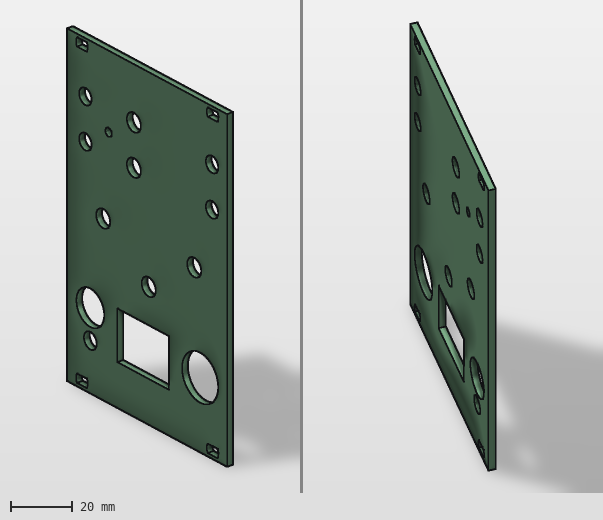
import cadquery as cq
import math

PANEL_WIDTH = 80.9
PANEL_HEIGHT = 128.5
PANEL_THICKNESS = 2.5

SLOT_LENGTH = 5.9
SLOT_HEIGHT = 3.4
SLOT_END_RADIUS = 3.0
SLOT_LEFT_X = 7.5
SLOT_SPACING_X = 66.04
SLOT_EDGE_OFFSET = 3.0

UPPER_ROWS_Z = (107.25, 90.75)
UPPER_SIDE_X = (9.25, 73.25)
UPPER_SIDE_DIAMETER = 6.2
UPPER_MIDDLE_X = 33.75
CONTROL_DIAMETER = 7.0

SMALL_HOLE_X = 21.0
SMALL_HOLE_Z = 98.75
SMALL_HOLE_DIAMETER = 3.2

TRIANGLE_CENTER_X = 41.25
TRIANGLE_HALF_SPACING = 23.0
TRIANGLE_PAIR_Z = 66.25
TRIANGLE_LOWER_Z = 50.25

LEFT_OPENING_X = 11.75
LEFT_OPENING_Z = 31.25
LEFT_OPENING_DIAMETER = 14.0
LEFT_LOWER_HOLE_Z = 19.25
LEFT_LOWER_HOLE_DIAMETER = 6.4
RIGHT_OPENING_X = 67.25
RIGHT_OPENING_Z = 27.25
RIGHT_OPENING_DIAMETER = 18.2

WINDOW_X = 38.5
WINDOW_Z = 26.5
WINDOW_WIDTH = 26.0
WINDOW_HEIGHT = 19.5


def front_sketch_plane():
    """Workplane on the front face; extruding by a negative distance goes into the panel (+Y)."""
    return cq.Workplane("XZ")


def make_plate():
    return front_sketch_plane().rect(PANEL_WIDTH, PANEL_HEIGHT, centered=False).extrude(-PANEL_THICKNESS)


def round_cutter(diameter, centers):
    return front_sketch_plane().pushPoints(centers).circle(diameter / 2).extrude(-PANEL_THICKNESS)


def rectangular_cutter(width, height, centers):
    return front_sketch_plane().pushPoints(centers).rect(width, height).extrude(-PANEL_THICKNESS)


def slot_cutter(center):
    """Slot cutter centered on an (x, z) point."""
    tip_x = SLOT_LENGTH / 2
    corner_z = SLOT_HEIGHT / 2
    end_bulge = SLOT_END_RADIUS - math.sqrt(SLOT_END_RADIUS**2 - corner_z**2)
    corner_x = tip_x - end_bulge
    return (
        front_sketch_plane()
        .center(*center)
        .moveTo(-corner_x, -corner_z)
        .lineTo(corner_x, -corner_z)
        .threePointArc((tip_x, 0), (corner_x, corner_z))
        .lineTo(-corner_x, corner_z)
        .threePointArc((-tip_x, 0), (-corner_x, -corner_z))
        .close()
        .extrude(-PANEL_THICKNESS)
    )


def slot_cutters():
    centers = [
        (x, z)
        for x in (SLOT_LEFT_X, SLOT_LEFT_X + SLOT_SPACING_X)
        for z in (SLOT_EDGE_OFFSET, PANEL_HEIGHT - SLOT_EDGE_OFFSET)
    ]
    return [slot_cutter(center) for center in centers]


def upper_hole_cutters():
    side_centers = [(x, z) for x in UPPER_SIDE_X for z in UPPER_ROWS_Z]
    middle_centers = [(UPPER_MIDDLE_X, z) for z in UPPER_ROWS_Z]
    return [
        round_cutter(UPPER_SIDE_DIAMETER, side_centers),
        round_cutter(CONTROL_DIAMETER, middle_centers),
        round_cutter(SMALL_HOLE_DIAMETER, [(SMALL_HOLE_X, SMALL_HOLE_Z)]),
    ]


def triangle_hole_cutter():
    centers = [
        (TRIANGLE_CENTER_X - TRIANGLE_HALF_SPACING, TRIANGLE_PAIR_Z),
        (TRIANGLE_CENTER_X + TRIANGLE_HALF_SPACING, TRIANGLE_PAIR_Z),
        (TRIANGLE_CENTER_X, TRIANGLE_LOWER_Z),
    ]
    return round_cutter(CONTROL_DIAMETER, centers)


def lower_opening_cutters():
    return [
        round_cutter(LEFT_OPENING_DIAMETER, [(LEFT_OPENING_X, LEFT_OPENING_Z)]),
        round_cutter(LEFT_LOWER_HOLE_DIAMETER, [(LEFT_OPENING_X, LEFT_LOWER_HOLE_Z)]),
        round_cutter(RIGHT_OPENING_DIAMETER, [(RIGHT_OPENING_X, RIGHT_OPENING_Z)]),
        rectangular_cutter(WINDOW_WIDTH, WINDOW_HEIGHT, [(WINDOW_X, WINDOW_Z)]),
    ]


def make_panel():
    panel = make_plate()
    cutters = slot_cutters() + upper_hole_cutters() + [triangle_hole_cutter()] + lower_opening_cutters()
    for cutter in cutters:
        panel = panel.cut(cutter)
    return panel


result = make_panel()